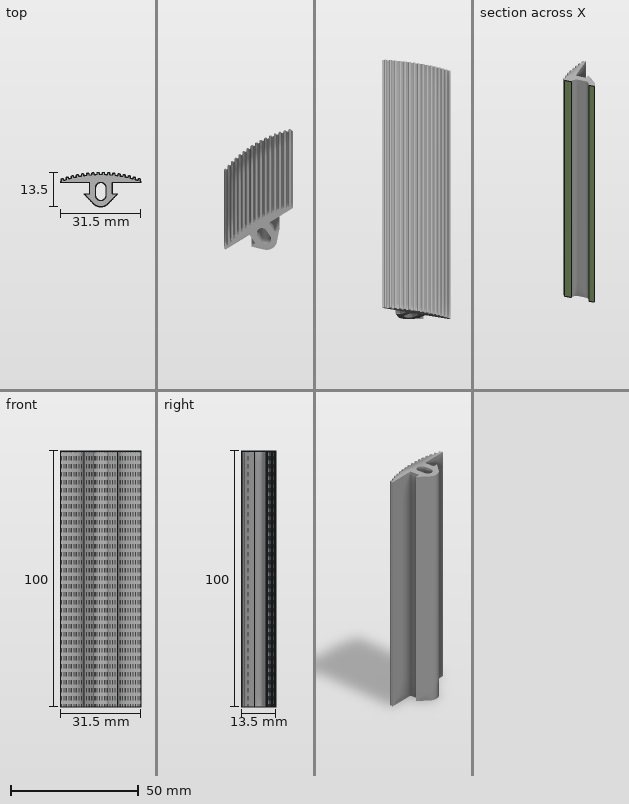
import cadquery as cq
import math

length = 100.0

plate_width = 31.5
dome_radius = 47.2
dome_height = 4.0
rib_count = 16
rib_pitch_angle = 2.5
rib_width = 1.0
rib_height = 0.8
rib_tip_fillet = 0.4
rib_root_overlap = 0.3

stem_width = 9.0
stem_overlap = 1.0
barb_width = 13.0
barb_shoulder_depth = 4.4
barb_edge_thickness = 0.1
nose_depth = 9.5
nose_radius = 4.0

slot_width = 4.0
slot_length = 7.0

dome_center_y = dome_height - dome_radius
root_radius = dome_radius - rib_height
nose_center_y = nose_radius - nose_depth


def make_plate():
    """Flat-bottomed plate whose domed face follows the roots of the ribs."""
    half_width = plate_width / 2
    crest_y = dome_center_y + root_radius
    edge_y = dome_center_y + math.sqrt(root_radius**2 - half_width**2)
    return (
        cq.Workplane("XY")
        .moveTo(-half_width, 0)
        .lineTo(half_width, 0)
        .lineTo(half_width, edge_y)
        .threePointArc((0, crest_y), (-half_width, edge_y))
        .close()
        .extrude(length)
    )


def make_rib(angle):
    """Round-tipped rib standing square to the dome, turned from the crest by an angle in degrees."""
    blank_height = rib_height + rib_root_overlap
    rib = (
        cq.Workplane("XY")
        .center(0, dome_height - blank_height / 2)
        .rect(rib_width, blank_height)
        .extrude(length)
        .edges("|Z and >Y")
        .fillet(rib_tip_fillet)
    )
    return rib.rotate((0, dome_center_y, 0), (0, dome_center_y, 1), angle)


def nose_tangent_point(x, y):
    """Point on the +X side where a line from (x, y) runs tangent into the nose arc."""
    distance = math.hypot(x, y - nose_center_y)
    direction = math.atan2(y - nose_center_y, x)
    contact_angle = direction - math.acos(nose_radius / distance)
    return (
        nose_radius * math.cos(contact_angle),
        nose_center_y + nose_radius * math.sin(contact_angle),
    )


def make_stem():
    """Straight stem ending in a barb with sloping flanks and a rounded nose."""
    stem_x = stem_width / 2
    barb_x = barb_width / 2
    shoulder_y = -barb_shoulder_depth
    barb_edge_y = shoulder_y - barb_edge_thickness
    tangent_x, tangent_y = nose_tangent_point(barb_x, barb_edge_y)
    return (
        cq.Workplane("XY")
        .moveTo(stem_x, stem_overlap)
        .lineTo(stem_x, shoulder_y)
        .lineTo(barb_x, shoulder_y)
        .lineTo(barb_x, barb_edge_y)
        .lineTo(tangent_x, tangent_y)
        .threePointArc((0, -nose_depth), (-tangent_x, tangent_y))
        .lineTo(-barb_x, barb_edge_y)
        .lineTo(-barb_x, shoulder_y)
        .lineTo(-stem_x, shoulder_y)
        .lineTo(-stem_x, stem_overlap)
        .close()
        .extrude(length)
    )


def make_core():
    """Through slot along the stem."""
    return (
        cq.Workplane("XY")
        .center(0, -slot_length / 2)
        .slot2D(slot_length, slot_width, 90)
        .extrude(length)
    )


strip = make_plate().union(make_stem())
for index in range(rib_count):
    steps_from_crest = index - (rib_count - 1) / 2
    strip = strip.union(make_rib(steps_from_crest * rib_pitch_angle))
result = strip.cut(make_core())